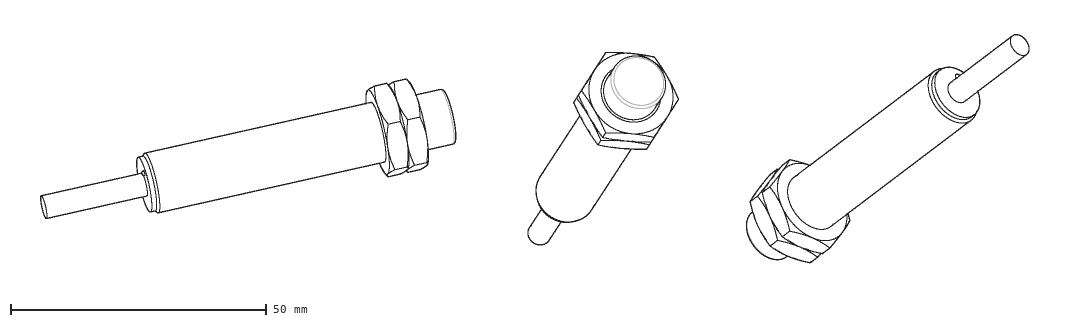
import cadquery as cq
import math

total_length = 82.5

cable_diameter = 4.6
cable_length = 20.5
barrel_diameter = 12.05
collar_diameter = 11.05
collar_length = 1.0
barrel_chamfer = (barrel_diameter - collar_diameter) / 2
nose_diameter = 11.05
nose_length = 6.5
nose_fillet = 0.5

dome_radius = 0.5
dome_height = 3.7

nut_count = 2
nut_sides = 6
nut_across_flats = 17.0
nuts_total_length = 8.0
nut_thickness = nuts_total_length / nut_count
nut_chamfer_angle = 30.0
nut_across_corners = nut_across_flats / math.cos(math.pi / nut_sides)

collar_start = cable_length
barrel_start = collar_start + collar_length
nose_start = total_length - nose_length
nuts_start = nose_start - nuts_total_length


def cylinder_y(diameter, start, end):
    """Cylinder about the Y axis between two stations."""
    plane = cq.Plane(origin=(0, start, 0), xDir=(-1, 0, 0), normal=(0, 1, 0))
    return cq.Workplane(plane).circle(diameter / 2).extrude(end - start)


def make_sensor():
    """Cable, stepped barrel, nose and indicator dome as one solid."""
    cable = cylinder_y(cable_diameter, 0, collar_start)
    collar = cylinder_y(collar_diameter, collar_start, barrel_start)
    barrel = cylinder_y(barrel_diameter, barrel_start, nose_start).faces("<Y").chamfer(barrel_chamfer)
    nose = cylinder_y(nose_diameter, nose_start, total_length).faces(">Y").edges().fillet(nose_fillet)
    dome = cq.Workplane("XY").sphere(dome_radius).translate((0, collar_start, dome_height))
    return cable.union(collar).union(barrel).union(nose).union(dome)


def make_nut(start):
    """Hex nut with corners on X, both faces coned off, bored to fit the barrel."""
    plane = cq.Plane(origin=(0, start, 0), xDir=(1, 0, 0), normal=(0, 1, 0))
    hexagon = cq.Workplane(plane).polygon(nut_sides, nut_across_corners).extrude(nut_thickness)

    corner_cut = (nut_across_corners - nut_across_flats) / 2
    cone_depth = corner_cut * math.tan(math.radians(nut_chamfer_angle))
    envelope = (
        cylinder_y(nut_across_corners, start, start + nut_thickness)
        .edges("%CIRCLE")
        .chamfer(cone_depth, corner_cut)
    )
    bore = cylinder_y(barrel_diameter, start, start + nut_thickness)
    return hexagon.intersect(envelope).cut(bore)


sensor = make_sensor()
nuts = [make_nut(nuts_start + i * nut_thickness) for i in range(nut_count)]

result = cq.Compound.makeCompound([sensor.val(), *[nut.val() for nut in nuts]])